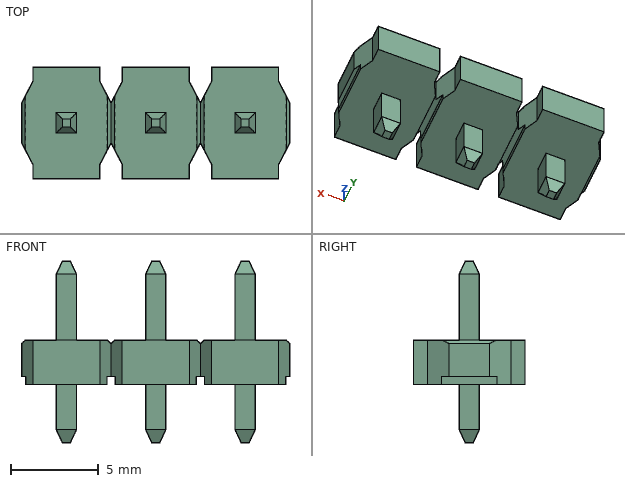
import cadquery as cq

overall_length = 15.24
cell_count = 3
pitch = overall_length / cell_count

body_depth = 6.35
body_height = 2.53
end_face_width = 3.81
shoulder_width = 4.74
joint_width = 2.29
top_chamfer = 0.2
relief_inset = 0.23
relief_height = 0.45

pin_side = 1.16
tip_side = 0.45
tip_height = 0.75
pin_above = 4.5
pin_below = 3.3


def block_plan():
    """Outline of one block seen along Z: a rectangle with tapered side bulges."""
    front_quarter = [
        (end_face_width / 2, -body_depth / 2),
        (end_face_width / 2, -shoulder_width / 2),
        (pitch / 2, -joint_width / 2),
    ]
    right_half = front_quarter + [(x, -y) for x, y in reversed(front_quarter)]
    left_half = [(-x, y) for x, y in reversed(right_half)]
    return cq.Workplane("XY").polyline(right_half + left_half).close().extrude(body_height)


def block_profile():
    """XZ profile, carried along Y, that bevels the top and undercuts the bottom."""
    joint_x = pitch / 2
    relief_x = joint_x - relief_inset
    right_side = [
        (relief_x, 0),
        (relief_x, relief_height),
        (joint_x, relief_height),
        (joint_x, body_height - top_chamfer),
        (joint_x - top_chamfer, body_height),
    ]
    left_side = [(-x, z) for x, z in reversed(right_side)]
    profile = cq.Workplane("XZ").polyline(right_side + left_side).close()
    return profile.extrude(body_depth / 2, both=True)


def pin_tip(base_z, direction):
    """Truncated pyramid growing from base_z up (direction 1) or down (-1)."""
    base_plane = cq.Plane(origin=(0, 0, base_z), normal=(0, 0, direction))
    base = cq.Workplane(base_plane).rect(pin_side, pin_side)
    return base.workplane(offset=tip_height).rect(tip_side, tip_side).loft(ruled=True)


def pin():
    """Square pin through the block, with both tips."""
    shank_bottom = tip_height - pin_below
    shank_top = body_height + pin_above - tip_height
    shank = (
        cq.Workplane("XY")
        .workplane(offset=shank_bottom)
        .rect(pin_side, pin_side)
        .extrude(shank_top - shank_bottom)
    )
    return shank.union(pin_tip(shank_top, 1)).union(pin_tip(shank_bottom, -1))


cell = block_plan().intersect(block_profile()).union(pin())

result = cell.translate((-(cell_count - 1) / 2 * pitch, 0, 0))
for index in range(1, cell_count):
    offset = (index - (cell_count - 1) / 2) * pitch
    result = result.union(cell.translate((offset, 0, 0)))